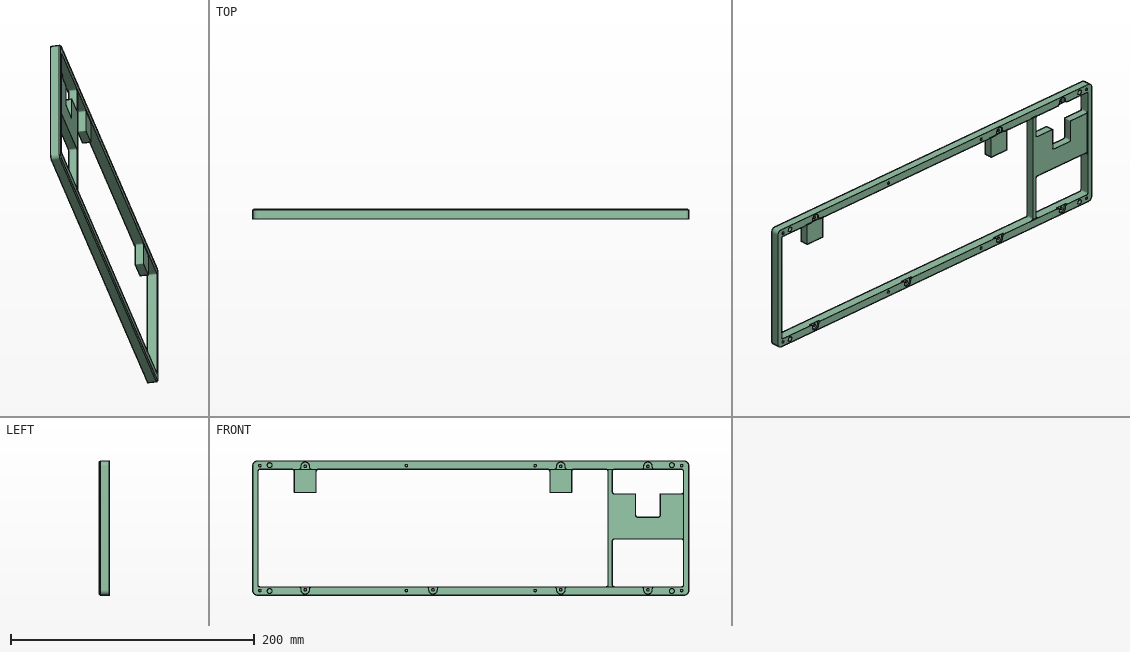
import cadquery as cq
import math

LENGTH = 357.61
DEPTH = 8.3
HEIGHT = 110.2
CORNER_RADIUS = 4.0
BACK_CHAMFER = 1.0

KEY_UNIT = 19.05
COLUMNS = 18.25
ROWS = 5
CLEARANCE = 0.5
INNER_RADIUS = 1.5
INFILL_CORNER_RADIUS = 0.5
MAIN_COLUMNS = 15
NAV_COLUMNS = 3
LEFT_BLOCKER_COLUMN = 1.5
RIGHT_BLOCKER_COLUMN = 12.5
BLOCKER_ROW = ROWS - 1
PANEL_BOTTOM_ROW = 2

INFILL_RECESS = 0.8
INFILL_BACK_RECESS = 0.5

SCREW_DIAMETER = 2.08
SCREW_DEPTH = 5.0
SCREW_Z = 51.2
CORNER_SCREW_X = 172.9
MIDDLE_SCREW_X = 52.8
MAGNET_DIAMETER = 4.0
MAGNET_DEPTH = 5.0
MAGNET_X = 164.9
MAGNET_Z = 51.6

MOUNT_RADIUS = 3.5
MOUNT_FLARE = 2.0
MOUNT_DEPTH = 1.5
MOUNT_Z = 50.6

FRONT = -DEPTH / 2
BACK = DEPTH / 2
LAYOUT_LEFT = -COLUMNS * KEY_UNIT / 2
LAYOUT_BOTTOM = -ROWS * KEY_UNIT / 2
NAV_LEFT = COLUMNS - NAV_COLUMNS
NOTCH_COLUMN = NAV_LEFT + 1
INNER_LENGTH = COLUMNS * KEY_UNIT + 2 * CLEARANCE
INNER_HEIGHT = ROWS * KEY_UNIT + 2 * CLEARANCE


def column_x(columns):
    """X of a position counted in key units from the left of the layout."""
    return LAYOUT_LEFT + columns * KEY_UNIT


def row_z(rows):
    """Z of a position counted in key units from the bottom of the layout."""
    return LAYOUT_BOTTOM + rows * KEY_UNIT


def prism(x0, x1, z0, z1, y0, y1):
    """Block between the given limits."""
    return cq.Workplane("XY").box(x1 - x0, y1 - y0, z1 - z0, centered=False).translate((x0, y0, z0))


def key_opening(column, row, columns, rows):
    """Through cutter for a block of keys, enlarged by the clearance and rounded at its corners."""
    block = prism(
        column_x(column) - CLEARANCE,
        column_x(column + columns) + CLEARANCE,
        row_z(row) - CLEARANCE,
        row_z(row + rows) + CLEARANCE,
        FRONT,
        BACK,
    )
    return block.edges("|Y").fillet(INNER_RADIUS)


def make_blank():
    """Solid rounded plate, chamfered around its back face."""
    blank = cq.Workplane("XY").box(LENGTH, DEPTH, HEIGHT)
    blank = blank.edges("|Y").fillet(CORNER_RADIUS)
    return blank.faces(">Y").edges().chamfer(BACK_CHAMFER)


def cut_infill_recess(body, y0, y1):
    """Clear everything inside the rails between two depths."""
    recess = prism(-INNER_LENGTH / 2, INNER_LENGTH / 2, -INNER_HEIGHT / 2, INNER_HEIGHT / 2, y0, y1)
    return body.cut(recess.edges("|Y").fillet(INNER_RADIUS))


def cut_key_openings(body):
    """Main block around its two blockers, then the blocks below and above the panel."""
    left_end = LEFT_BLOCKER_COLUMN + 1
    right_end = RIGHT_BLOCKER_COLUMN + 1
    blocks = (
        (0, 0, MAIN_COLUMNS, BLOCKER_ROW),
        (0, 0, LEFT_BLOCKER_COLUMN, ROWS),
        (left_end, 0, RIGHT_BLOCKER_COLUMN - left_end, ROWS),
        (right_end, 0, MAIN_COLUMNS - right_end, ROWS),
        (NAV_LEFT, 0, NAV_COLUMNS, PANEL_BOTTOM_ROW),
        (NAV_LEFT, BLOCKER_ROW, NAV_COLUMNS, 1),
        (NOTCH_COLUMN, BLOCKER_ROW - 1, 1, 2),
    )
    for block in blocks:
        body = body.cut(key_opening(*block))
    return body


def round_infill_corners(body):
    """Ease the outside corners of the blockers and of the panel beside its notch."""
    blocker_z = row_z(BLOCKER_ROW) + CLEARANCE
    panel_z = row_z(BLOCKER_ROW) - CLEARANCE
    corners = [
        (column_x(NOTCH_COLUMN) - CLEARANCE, panel_z),
        (column_x(NOTCH_COLUMN + 1) + CLEARANCE, panel_z),
    ]
    for column in (LEFT_BLOCKER_COLUMN, RIGHT_BLOCKER_COLUMN):
        corners.append((column_x(column) + CLEARANCE, blocker_z))
        corners.append((column_x(column + 1) - CLEARANCE, blocker_z))
    infill_middle_y = (INFILL_RECESS - INFILL_BACK_RECESS) / 2
    for x, z in corners:
        nearest = cq.selectors.NearestToPointSelector((x, infill_middle_y, z))
        body = body.edges("|Y").edges(nearest).fillet(INFILL_CORNER_RADIUS)
    return body


def cut_blind_holes(body, points, diameter, depth):
    """Round holes sunk from the front face."""
    for x, z in points:
        hole = cq.Workplane("XZ", origin=(x, FRONT, z)).circle(diameter / 2).extrude(-depth)
        body = body.cut(hole)
    return body


def mount_pocket(x, side):
    """U-shaped pocket with flared mouth; side is +1 for the top rail and -1 for the bottom rail."""
    mouth = INNER_HEIGHT / 2
    flare_drop = MOUNT_FLARE * (1 - math.cos(math.pi / 4))
    outline = (
        cq.Workplane("XZ", origin=(x, FRONT, 0))
        .moveTo(-MOUNT_RADIUS - MOUNT_FLARE, side * mouth)
        .threePointArc(
            (-MOUNT_RADIUS - flare_drop, side * (mouth + flare_drop)),
            (-MOUNT_RADIUS, side * (mouth + MOUNT_FLARE)),
        )
        .lineTo(-MOUNT_RADIUS, side * MOUNT_Z)
        .threePointArc((0, side * (MOUNT_Z + MOUNT_RADIUS)), (MOUNT_RADIUS, side * MOUNT_Z))
        .lineTo(MOUNT_RADIUS, side * (mouth + MOUNT_FLARE))
        .threePointArc(
            (MOUNT_RADIUS + flare_drop, side * (mouth + flare_drop)),
            (MOUNT_RADIUS + MOUNT_FLARE, side * mouth),
        )
        .close()
    )
    return outline.extrude(-MOUNT_DEPTH)


def four_corners(x, z):
    """The four mirrored places of a point."""
    return [(sx * x, sz * z) for sx in (-1, 1) for sz in (-1, 1)]


result = make_blank()
result = cut_infill_recess(result, FRONT, FRONT + INFILL_RECESS)
result = cut_infill_recess(result, BACK - INFILL_BACK_RECESS, BACK)
result = cut_key_openings(result)
result = round_infill_corners(result)

paired_mounts = [
    column_x(column + 0.5) for column in (LEFT_BLOCKER_COLUMN, RIGHT_BLOCKER_COLUMN, NOTCH_COLUMN)
]
mounts = [(x, side) for x in paired_mounts for side in (-1, 1)]
mounts.append((column_x(MAIN_COLUMNS / 2), -1))
for mount_x, mount_side in mounts:
    result = result.cut(mount_pocket(mount_x, mount_side))

mount_holes = [(x, side * MOUNT_Z) for x, side in mounts]
screw_holes = four_corners(CORNER_SCREW_X, SCREW_Z) + four_corners(MIDDLE_SCREW_X, SCREW_Z)
result = cut_blind_holes(result, mount_holes + screw_holes, SCREW_DIAMETER, SCREW_DEPTH)
result = cut_blind_holes(result, four_corners(MAGNET_X, MAGNET_Z), MAGNET_DIAMETER, MAGNET_DEPTH)